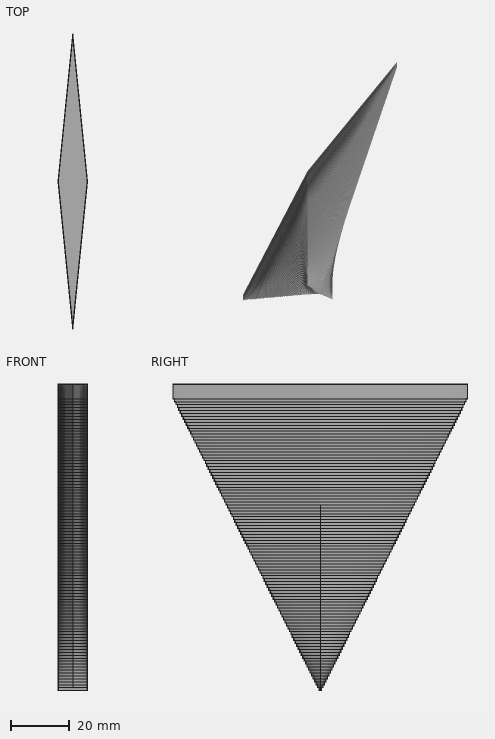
import cadquery as cq

THICKNESS = 10.0
TOP_WIDTH = 100.0
PLATE_HEIGHT = 5.0
STEP_HEIGHT = 1.0
STEP_INSET = 0.5

STEP_COUNT = round(TOP_WIDTH / 2 / STEP_INSET) - 1


def rhombus_layer(width, top_z, height):
    """Rhombic slab reaching down from top_z, with its corners on the X and Y axes."""
    half_thickness = THICKNESS / 2
    half_width = width / 2
    corners = [
        (half_thickness, 0),
        (0, half_width),
        (-half_thickness, 0),
        (0, -half_width),
    ]
    return cq.Workplane("XY").workplane(offset=top_z).polyline(corners).close().extrude(-height)


def stepped_wedge():
    """Top plate with ever narrower slabs stacked beneath it; the plate's underside is at Z = 0."""
    layers = [rhombus_layer(TOP_WIDTH, PLATE_HEIGHT, PLATE_HEIGHT).val()]
    for step in range(1, STEP_COUNT + 1):
        width = TOP_WIDTH - 2 * STEP_INSET * step
        top_z = -STEP_HEIGHT * (step - 1)
        layers.append(rhombus_layer(width, top_z, STEP_HEIGHT).val())
    return cq.Workplane("XY").newObject([layers[0].fuse(*layers[1:])])


result = stepped_wedge()